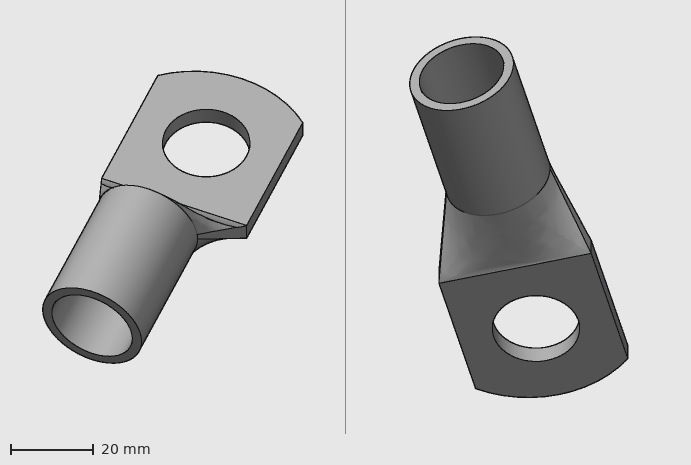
import cadquery as cq

total_length = 93.0
palm_width = 38.0
palm_thickness = 4.9
palm_corner_setback = 7.0
bolt_hole_diameter = 21.1
bolt_hole_from_tip = 21.95

barrel_diameter = 25.95
bore_diameter = 21.1
barrel_length = 34.9
total_height = 28.0
neck_length = 16.2

barrel_axis_height = total_height - barrel_diameter / 2
palm_start = barrel_length + neck_length
neck_crest = [(3.9, 7.9), (7.7, 12.9), (10.8, 18.0), (12.8, 22.9), (14.4, 25.95)]

half_width = palm_width / 2
corner_y = total_length - palm_corner_setback


def make_palm():
    """Flat plate with an arched tip and a bolt hole."""
    plate = (
        cq.Workplane("XY")
        .moveTo(-half_width, palm_start)
        .lineTo(half_width, palm_start)
        .lineTo(half_width, corner_y)
        .threePointArc((0, total_length), (-half_width, corner_y))
        .close()
        .extrude(palm_thickness)
    )
    hole = (
        cq.Workplane("XY")
        .center(0, total_length - bolt_hole_from_tip)
        .circle(bolt_hole_diameter / 2)
        .extrude(palm_thickness)
    )
    return plate.cut(hole)


def barrel_cylinder(diameter):
    """Cylinder along the barrel axis, from the open end to the neck."""
    return (
        cq.Workplane("XZ")
        .center(0, barrel_axis_height)
        .circle(diameter / 2)
        .extrude(-barrel_length)
    )


def make_neck():
    """Ruled blend from barrel to palm, with a hollowed, S-shaped upper face."""
    blend = (
        cq.Workplane("XZ", origin=(0, barrel_length, 0))
        .center(0, barrel_axis_height)
        .circle(barrel_diameter / 2)
        .workplane(offset=-neck_length)
        .center(0, palm_thickness / 2 - barrel_axis_height)
        .rect(palm_width, palm_thickness)
        .loft(ruled=True, combine=True)
    )
    crest_points = [(palm_start - run, height) for run, height in neck_crest]
    hollow = (
        cq.Workplane("YZ", origin=(-half_width, 0, 0))
        .moveTo(palm_start, palm_thickness)
        .spline(crest_points + [(barrel_length, total_height)], includeCurrent=True)
        .lineTo(palm_start, total_height)
        .close()
        .extrude(palm_width)
    )
    return blend.cut(hollow)


barrel = barrel_cylinder(barrel_diameter)
bore = barrel_cylinder(bore_diameter)
result = make_palm().union(make_neck()).union(barrel).cut(bore)